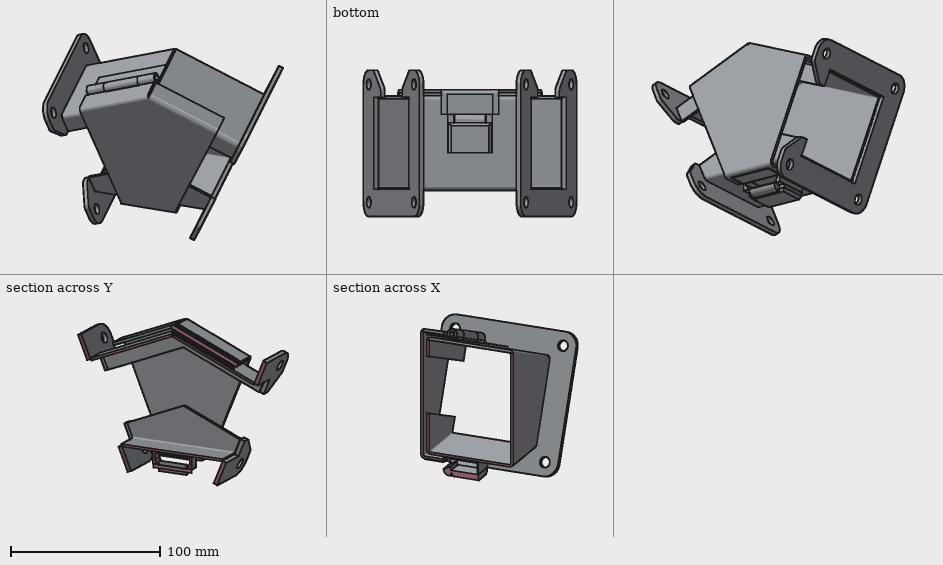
import cadquery as cq
import math

SLOPE = math.radians(22.5)
COS = math.cos(SLOPE)
SIN = math.sin(SLOPE)

OVERALL_LENGTH = 143.2

WALL = 2.0
BEND = 3.0
GROOVE_ROOT = 0.1

DUCT_SIZE = 63.6
AXIS_HEIGHT = -DUCT_SIZE / 2

FLANGE_SIZE = 98.4
FLANGE_THICK = 3.2
FLANGE_CORNER = 9.7
FLANGE_TOP = AXIS_HEIGHT + FLANGE_SIZE / 2
FLANGE_FACE = (OVERALL_LENGTH / 2 - FLANGE_TOP * SIN) / COS
OPENING = 61.9
BOLT_DIA = 7.2
BOLT_PITCH = 79.0
NOTCH_MOUTH = 63.0
NOTCH_FILLET = 4.0

DUCT_END = FLANGE_FACE - FLANGE_THICK
DUCT_BOTTOM = -(DUCT_END * SIN + DUCT_SIZE * COS)
SLOT_WIDTH = 37.8

LID_SIDE = 50.3
LID_TOP_GAP = 3.0
LID_FRONT_GAP = 2.3
LID_BOTTOM_GAP = 1.6
LIP_DEPTH = 16.6
LID_FRONT = -(DUCT_SIZE / 2 + LID_FRONT_GAP + WALL)
LID_BACK = LID_FRONT + LIP_DEPTH
LID_TOP = LID_TOP_GAP + WALL
LID_BOTTOM = DUCT_BOTTOM - LID_BOTTOM_GAP - WALL

HINGE_LENGTH = 50.8
HINGE_START = -1.0
HINGE_END = HINGE_START + HINGE_LENGTH
HINGE_Y = -13.5
OUTER_KNUCKLE = HINGE_LENGTH / 4
OUTER_SPANS = [(HINGE_START, HINGE_START + OUTER_KNUCKLE), (HINGE_END - OUTER_KNUCKLE, HINGE_END)]
MIDDLE_SPANS = [(HINGE_START + OUTER_KNUCKLE, HINGE_END - OUTER_KNUCKLE)]
PIN_HEIGHT = 4.5
KNUCKLE_DIA = 7.2
KNUCKLE_BORE = 4.0
PIN_DIA = 3.2
PIN_OVERHANG = 1.9
PIN_DOME = 1.5
LEAF_THICK = 1.6
LEAF_BACK = 7.3
LEAF_FRONT = -31.8
RAMP_START = -8.2
RAMP_TOP = 3.2
KNUCKLE_GAP = 0.6

CATCH_WIDTH = 30.4
CATCH_THICK = 0.6
CATCH_FRONT = LID_FRONT + BEND
BASE_WIDTH = 29.8
BASE_DEPTH = 25.8
BASE_BOTTOM = -93.2
BASE_FRONT = LID_BACK
BASE_WALL = 1.0
RECESS_TOP_WIDTH = 25.8
RECESS_MOUTH_WIDTH = 21.8
RECESS_TAPER_START = -89.7
LEVER_WIDTH = 29.0
LEVER_BOTTOM = -97.7
LEVER_CHAMFER = 2.0
LEVER_DEPTH = 20.0
NOSE_WIDTH = 20.6
NOSE_DEPTH = 5.7
LEVER_FRONT = BASE_FRONT + NOSE_DEPTH
NOSE_TOP = -90.2
NOSE_ROUND = 4.3


def cross_plane(distance):
    """Plane across the left arm: local x is Y, local y is height above the slope, facing the ridge."""
    origin = (-distance * COS, 0, -distance * SIN)
    return cq.Plane(origin=origin, xDir=(0, 1, 0), normal=(COS, 0, SIN))


def slope_point(distance, height):
    """X and Z of a place on the right arm."""
    return (distance * COS + height * SIN, height * COS - distance * SIN)


def house(top, end, bottom, y_front, y_back, foot=0):
    """Prism with two sloping top faces, two ends square to the slopes, and a flat bottom.

    The lowest part of the ends, up to the height foot, is vertical.
    """
    foot_top = bottom + foot
    foot_x = (end + foot_top * SIN) / COS
    right_side = [slope_point(end, top), (foot_x, foot_top)]
    if foot > 0:
        right_side.append((foot_x, bottom))
    left_side = [(-x, z) for x, z in reversed(right_side)]
    outline = [(0, top / COS), *right_side, *left_side]
    plane = cq.Workplane("XZ", origin=(0, y_back, 0))
    return plane.polyline(outline).close().extrude(y_back - y_front)


def round_bends(body, side, radius):
    """Rounds the top and bottom edges of a house on the given Y side."""
    end_edges = (
        cq.selectors.ParallelDirSelector(cq.Vector(SIN, 0, -COS))
        + cq.selectors.ParallelDirSelector(cq.Vector(SIN, 0, COS))
        + cq.selectors.ParallelDirSelector(cq.Vector(0, 0, 1))
    )
    return body.edges(cq.selectors.StringSyntaxSelector(side) - end_edges).fillet(radius)


def ridge_groove(inner_top, y_front, y_back):
    """V groove between the square-cut ends of two sloping sheets that meet at a ridge."""
    root = inner_top / COS + GROOVE_ROOT
    height = 2 * BEND
    half_width = height * math.tan(SLOPE)
    plane = cq.Workplane("XZ", origin=(0, y_back, root))
    return (
        plane.polyline([(0, 0), (half_width, height), (-half_width, height)])
        .close()
        .extrude(y_back - y_front)
    )


def make_duct():
    """Hollow two-arm duct with a grooved ridge and an open slot along its front wall."""
    half = DUCT_SIZE / 2
    past_end = DUCT_END + FLANGE_THICK
    inner_half = half - WALL
    body = round_bends(house(0, DUCT_END, DUCT_BOTTOM, -half, half), "<Y or >Y", BEND)
    hollow = house(-WALL, past_end, DUCT_BOTTOM + WALL, -inner_half, inner_half)
    hollow = round_bends(hollow, "<Y or >Y", BEND - WALL)
    body = body.cut(hollow).cut(ridge_groove(-WALL, -half, half))

    slot_top = AXIS_HEIGHT + SLOT_WIDTH / 2
    slot_bottom = AXIS_HEIGHT - SLOT_WIDTH / 2
    upper_x, upper_z = slope_point(past_end, slot_top)
    lower_x, lower_z = slope_point(past_end, slot_bottom)
    outline = [
        (0, slot_top / COS),
        (upper_x, upper_z),
        (lower_x, lower_z),
        (0, slot_bottom / COS),
        (-lower_x, lower_z),
        (-upper_x, upper_z),
    ]
    slot = cq.Workplane("XZ", origin=(0, -inner_half, 0)).polyline(outline).close().extrude(WALL)
    return body.cut(slot)


def make_flange(mirrored):
    """Flange on the left arm, or its mirror image on the right arm."""
    half = FLANGE_SIZE / 2
    half_slot = SLOT_WIDTH / 2
    half_mouth = NOTCH_MOUTH / 2
    neck = half_mouth - half_slot - half
    outline = [
        (-half, half_mouth),
        (-half, half),
        (half, half),
        (half, -half),
        (-half, -half),
        (-half, -half_mouth),
        (neck, -half_slot),
        (0, -half_slot),
        (0, half_slot),
        (neck, half_slot),
    ]
    flange_plane = cross_plane(FLANGE_FACE)
    plane = cq.Workplane(flange_plane).center(0, AXIS_HEIGHT)
    plate = plane.polyline(outline).close().extrude(FLANGE_THICK)
    middle = FLANGE_THICK / 2

    def corner_edges(x, y):
        points = [flange_plane.toWorldCoords((x, sign * y + AXIS_HEIGHT, middle)) for sign in (1, -1)]
        upper, lower = [cq.selectors.NearestToPointSelector(point.toTuple()) for point in points]
        return plate.edges(upper + lower)

    for x, y, radius in [
        (half, half, FLANGE_CORNER),
        (-half, half, FLANGE_CORNER),
        (-half, half_mouth, NOTCH_FILLET),
        (neck, half_slot, NOTCH_FILLET),
    ]:
        plate = corner_edges(x, y).fillet(radius)

    opening = plane.rect(OPENING, OPENING).extrude(FLANGE_THICK)
    bolt_centers = plane.rect(BOLT_PITCH, BOLT_PITCH, forConstruction=True).vertices()
    bolt_holes = bolt_centers.circle(BOLT_DIA / 2).extrude(FLANGE_THICK)
    flange = plate.cut(opening).cut(bolt_holes)
    return flange.mirror("YZ") if mirrored else flange


def make_lid():
    """Front plate with lips bent back over the two slopes and under the bottom."""
    body = house(LID_TOP, LID_SIDE, LID_BOTTOM, LID_FRONT, LID_BACK, foot=BEND)
    body = round_bends(body, "<Y", BEND)
    hollow = house(LID_TOP_GAP, LID_SIDE + BEND, LID_BOTTOM + WALL, LID_FRONT + WALL, LID_BACK)
    hollow = round_bends(hollow, "<Y", BEND - WALL)
    return body.cut(hollow).cut(ridge_groove(LID_TOP_GAP, LID_FRONT, LID_BACK))


def hinge_rod(span, diameter):
    """Round rod on the hinge axis."""
    start, end = span
    plane = cq.Workplane(cross_plane(end)).center(HINGE_Y, PIN_HEIGHT)
    return plane.circle(diameter / 2).extrude(end - start)


def make_leaf(profile, own_spans, other_spans):
    """Hinge leaf: a profile along the hinge, with its own knuckles and room for the others."""
    leaf = cq.Workplane(cross_plane(HINGE_END)).polyline(profile).close().extrude(HINGE_LENGTH)
    for span in other_spans:
        leaf = leaf.cut(hinge_rod(span, KNUCKLE_DIA + 2 * KNUCKLE_GAP))
    for span in own_spans:
        leaf = leaf.union(hinge_rod(span, KNUCKLE_DIA))
    return leaf.cut(hinge_rod((HINGE_START, HINGE_END), KNUCKLE_BORE))


def make_duct_leaf():
    """Leaf lying on the duct, ramped up to the two outer knuckles."""
    barrel_back = HINGE_Y + KNUCKLE_DIA / 2
    profile = [
        (LEAF_BACK, 0),
        (LEAF_BACK, LEAF_THICK),
        (RAMP_START, LEAF_THICK),
        (barrel_back, RAMP_TOP),
        (HINGE_Y + KNUCKLE_BORE / 2, PIN_HEIGHT - KNUCKLE_BORE / 2),
        (RAMP_START, 0),
    ]
    return make_leaf(profile, OUTER_SPANS, MIDDLE_SPANS)


def make_lid_leaf(lid):
    """Leaf under the left lip of the lid, with the middle knuckle."""
    top = LID_TOP_GAP
    bottom = top - LEAF_THICK
    profile = [(LEAF_FRONT, bottom), (LEAF_FRONT, top), (HINGE_Y, top), (HINGE_Y, bottom)]
    return make_leaf(profile, MIDDLE_SPANS, OUTER_SPANS).cut(lid)


def make_pin():
    """Hinge pin with domed ends."""
    span = (HINGE_START - PIN_OVERHANG, HINGE_END + PIN_OVERHANG)
    along = cq.selectors.ParallelDirSelector(cq.Vector(COS, 0, SIN))
    return hinge_rod(span, PIN_DIA).faces(along).edges().fillet(PIN_DOME)


def box_between(width, y_front, y_back, bottom, top):
    """Box centred on X = 0."""
    box = cq.Workplane().box(width, y_back - y_front, top - bottom, centered=(True, False, False))
    return box.translate((0, y_front, bottom))


def make_catch():
    """Flat catch plate under the bottom lip of the lid."""
    return box_between(CATCH_WIDTH, CATCH_FRONT, LID_BACK, LID_BOTTOM - CATCH_THICK, LID_BOTTOM)


def make_latch_base():
    """Block under the duct with a tapering recess, open at the front and bottom."""
    base_back = BASE_FRONT + BASE_DEPTH
    body = box_between(BASE_WIDTH, BASE_FRONT, base_back, BASE_BOTTOM, DUCT_BOTTOM)
    top_half = RECESS_TOP_WIDTH / 2
    mouth_half = RECESS_MOUTH_WIDTH / 2
    outline = [
        (-mouth_half, BASE_BOTTOM),
        (-top_half, RECESS_TAPER_START),
        (-top_half, DUCT_BOTTOM - BASE_WALL),
        (top_half, DUCT_BOTTOM - BASE_WALL),
        (top_half, RECESS_TAPER_START),
        (mouth_half, BASE_BOTTOM),
    ]
    plane = cq.Workplane("XZ", origin=(0, base_back - BASE_WALL, 0))
    recess = plane.polyline(outline).close().extrude(BASE_DEPTH - BASE_WALL)
    return body.cut(recess)


def make_lever():
    """Lever under the latch base, with a rounded nose standing in the recess."""
    body = box_between(LEVER_WIDTH, LEVER_FRONT, LEVER_FRONT + LEVER_DEPTH, LEVER_BOTTOM, BASE_BOTTOM)
    body = body.edges("|Y and <Z").chamfer(LEVER_CHAMFER)
    body = body.edges("<Y and <Z").chamfer(LEVER_CHAMFER)
    nose_front = LEVER_FRONT - NOSE_DEPTH
    nose = (
        cq.Workplane("YZ", origin=(-NOSE_WIDTH / 2, 0, 0))
        .moveTo(LEVER_FRONT, LEVER_BOTTOM)
        .lineTo(nose_front + NOSE_ROUND, LEVER_BOTTOM)
        .radiusArc((nose_front, LEVER_BOTTOM + NOSE_ROUND), NOSE_ROUND)
        .lineTo(LEVER_FRONT, NOSE_TOP)
        .close()
        .extrude(NOSE_WIDTH)
    )
    return body.union(nose)


duct = make_duct()
flanges = [make_flange(mirrored) for mirrored in (False, True)]
lid = make_lid()
duct_leaf = make_duct_leaf()
lid_leaf = make_lid_leaf(lid)
pin = make_pin()
catch = make_catch()
latch_base = make_latch_base()
lever = make_lever()

result = cq.Compound.makeCompound(
    [
        duct.val(),
        *[flange.val() for flange in flanges],
        lid.val(),
        duct_leaf.val(),
        lid_leaf.val(),
        pin.val(),
        catch.val(),
        latch_base.val(),
        lever.val(),
    ]
)